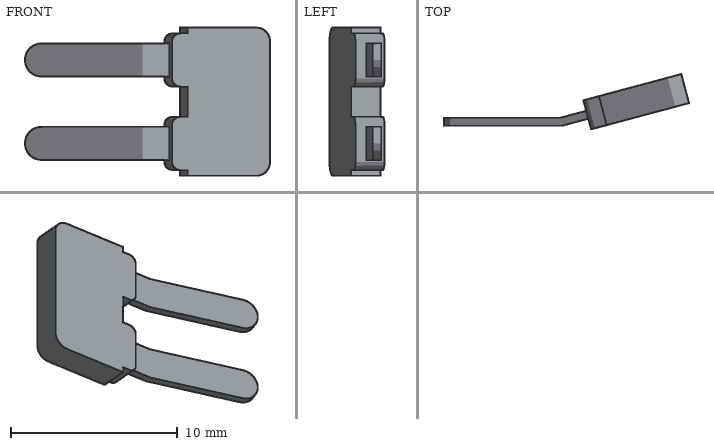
import cadquery as cq
import math

TOTAL_LENGTH = 14.72
TILT = 15.0
PITCH = 5.0

HOUSING_LENGTH = 6.1
HOUSING_THICKNESS = 1.81
HOUSING_HEIGHT = 8.9
HOUSING_CORNER_RADIUS = 0.85
HOUSING_DROP = 0.2

COLLAR_LENGTH = 0.97
COLLAR_HEIGHT = 3.2
COLLAR_RADIUS = 0.5

PRONG_WIDTH = 2.0
PRONG_THICKNESS = 0.5
BEND_X = 7.07
PRONG_EMBED = 0.5

tilt_cos = math.cos(math.radians(TILT))
tilt_sin = math.sin(math.radians(TILT))
housing_x = TOTAL_LENGTH - HOUSING_LENGTH * tilt_cos
prong_centers = (-PITCH / 2, PITCH / 2)


def make_housing():
    """Tilted plate with rounded far corners and two collars at the prong end."""
    plate_length = HOUSING_LENGTH - COLLAR_LENGTH
    plate = (
        cq.Workplane("XY")
        .box(plate_length, HOUSING_THICKNESS, HOUSING_HEIGHT, centered=(False, False, True))
        .translate((COLLAR_LENGTH, 0, 0))
        .edges("|Y and >X")
        .fillet(HOUSING_CORNER_RADIUS)
    )
    collar = (
        cq.Workplane("XY")
        .box(2 * COLLAR_LENGTH, HOUSING_THICKNESS, COLLAR_HEIGHT, centered=(False, False, True))
        .edges("|Y and <X")
        .fillet(COLLAR_RADIUS)
    )
    for z in prong_centers:
        plate = plate.union(collar.translate((0, 0, z)))
    return plate.rotate((0, 0, 0), (0, 0, 1), TILT).translate((housing_x, -HOUSING_DROP, 0))


def make_prong():
    """Flat strip with a full-round tip and a root bent up by the tilt angle."""
    miter_shift = PRONG_THICKNESS * math.tan(math.radians(TILT / 2))
    root_length = (housing_x - BEND_X) / tilt_cos + PRONG_EMBED
    root_end = (BEND_X + root_length * tilt_cos, root_length * tilt_sin)
    profile = (
        cq.Workplane("XY")
        .moveTo(0, 0)
        .lineTo(BEND_X, 0)
        .lineTo(*root_end)
        .lineTo(root_end[0] - PRONG_THICKNESS * tilt_sin, root_end[1] + PRONG_THICKNESS * tilt_cos)
        .lineTo(BEND_X - miter_shift, PRONG_THICKNESS)
        .lineTo(0, PRONG_THICKNESS)
        .close()
        .extrude(PRONG_WIDTH / 2, both=True)
    )
    tip_radius = PRONG_WIDTH / 2
    outline = (
        cq.Workplane("XZ")
        .moveTo(tip_radius, -tip_radius)
        .lineTo(TOTAL_LENGTH, -tip_radius)
        .lineTo(TOTAL_LENGTH, tip_radius)
        .lineTo(tip_radius, tip_radius)
        .radiusArc((0, 0), -tip_radius)
        .radiusArc((tip_radius, -tip_radius), -tip_radius)
        .close()
        .extrude(TOTAL_LENGTH, both=True)
    )
    return profile.intersect(outline)


result = make_housing()
prong = make_prong()
for center_z in prong_centers:
    result = result.union(prong.translate((0, 0, center_z)))